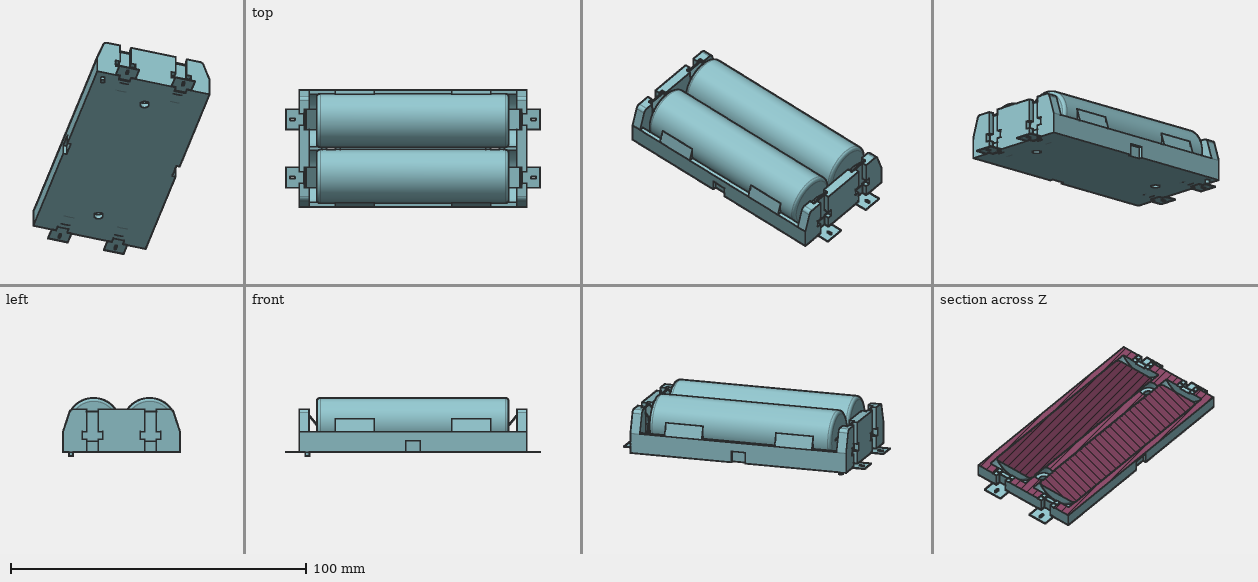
import cadquery as cq
import math


total_length = 86.14
total_height = 19.77

housing_length = 77.2
housing_width = 39.66
rail_height = 7.0
end_wall_height = 14.6
end_wall_thickness = 3.4
side_slope = math.radians(18)
end_wall_round = 1.5
outer_x = housing_length / 2
inner_x = outer_x - end_wall_thickness
outer_y = housing_width / 2

cell_diameter = 18.25
cell_radius = cell_diameter / 2
cell_length = 65.0
cell_edge_round = 1.1
cell_y = 9.47
cell_top = 18.45
cell_z = cell_top - cell_radius
cell_shift = -0.1
cell_ys = [-cell_y, cell_y]

clip_x = 19.7
clip_length = 13.3
clip_top = 11.4

notch_width = 5.0
notch_height = 3.9
notch_depth = 1.2

screw_x = 27.75
screw_diameter = 3.0
counterbore_diameter = 6.2
counterbore_floor = 2.0
pin_diameter = 1.5
pin_length = total_height - cell_top
pin_x = -35.8
pin_y = 17.1

contact_y = 9.85
contact_width = 7.0
contact_neck_width = 3.9
sheet = 0.25
tab_end_x = total_length / 2
tab_hole_length = 1.8
tab_hole_width = 0.7
stem_x = 37.0
stem_top = 3.8
bend_z = 13.95
bend_outer_x = 36.62
bend_inner_x = 36.23
tongue_slope = math.radians(51)
contact_spots = [(end, side) for end in (-1, 1) for side in (-1, 1)]

window_bottom = 4.4
window_top = 7.0


def box(x_range, y_range, z_range):
    """Axis-aligned box between the given limits."""
    sizes = [high - low for low, high in (x_range, y_range, z_range)]
    corner = (x_range[0], y_range[0], z_range[0])
    return cq.Workplane("XY").box(*sizes, centered=False).translate(corner)


def side_y(z):
    """Half-width of the sloping side at a height above the rail."""
    return outer_y - (z - rail_height) * math.tan(side_slope)


def blade_outer_x(z):
    """Outward face of the contact's leaning blade at height z."""
    return stem_x + (bend_outer_x - stem_x) * (z - stem_top) / (bend_z - stem_top)


def at_corner(shape, end, side):
    """Move a shape drawn at the +X end, centred on Y = 0, to one contact place."""
    if end < 0:
        shape = shape.mirror("YZ")
    return shape.translate((0, side * contact_y, 0))


def cell_cylinder(length, y):
    """Cylinder along X, centred on a cell axis."""
    start = cq.Workplane("YZ").workplane(offset=-length / 2)
    return start.center(y, cell_z).circle(cell_radius).extrude(length)


def make_end_wall():
    """End wall at +X with sloping sides and rounded shoulders."""
    half_top = side_y(end_wall_height)
    outline = [
        (-outer_y, 0),
        (outer_y, 0),
        (outer_y, rail_height),
        (half_top, end_wall_height),
        (-half_top, end_wall_height),
        (-outer_y, rail_height),
    ]
    inner_face = cq.Workplane("YZ").workplane(offset=inner_x)
    wall = inner_face.polyline(outline).close().extrude(end_wall_thickness)
    return wall.edges("|X and >Z").fillet(end_wall_round)


def make_clip(x):
    """Wedge above the +Y rail; the cell cavity later gives it its curved inner face."""
    outline = [
        (cell_y, rail_height),
        (outer_y, rail_height),
        (side_y(clip_top), clip_top),
        (cell_y, clip_top),
    ]
    clip_end = cq.Workplane("YZ").workplane(offset=x - clip_length / 2)
    return clip_end.polyline(outline).close().extrude(clip_length)


def make_contact_opening():
    """Space for one contact in the +X end wall, centred on Y = 0."""
    neck = (-contact_neck_width / 2, contact_neck_width / 2)
    wide = (-contact_width / 2, contact_width / 2)
    lip_x = blade_outer_x(window_top)
    stem_slot = box((stem_x - sheet, outer_x), neck, (0, stem_top))
    blade_gap = box((inner_x, outer_x), neck, (stem_top, window_bottom))
    window = box((inner_x, outer_x), wide, (window_bottom, window_top))
    pocket = box((inner_x, lip_x), wide, (window_top, end_wall_height))
    upper_slot = box((lip_x, outer_x), neck, (window_top, end_wall_height))
    return stem_slot.union(blade_gap).union(window).union(pocket).union(upper_slot)


def make_screw_hole(x):
    """Counterbored screw hole between the cells."""
    hole = cq.Workplane("XY").center(x, 0).circle(screw_diameter / 2).extrude(rail_height)
    bore = cq.Workplane("XY").workplane(offset=counterbore_floor).center(x, 0)
    return hole.union(bore.circle(counterbore_diameter / 2).extrude(rail_height))


def make_housing():
    """Tray with rails, end walls, clips, cell cradles, contact openings and locating pin."""
    body = box((-outer_x, outer_x), (-outer_y, outer_y), (0, rail_height))
    for x in (-clip_x, clip_x):
        clip = make_clip(x)
        body = body.union(clip).union(clip.mirror("XZ"))
    for y in cell_ys:
        body = body.cut(cell_cylinder(2 * inner_x, y))

    end_wall = make_end_wall()
    body = body.union(end_wall).union(end_wall.mirror("YZ"))
    for end, side in contact_spots:
        body = body.cut(at_corner(make_contact_opening(), end, side))

    for x in (-screw_x, screw_x):
        body = body.cut(make_screw_hole(x))

    half_notch = notch_width / 2
    notch = box((-half_notch, half_notch), (outer_y - notch_depth, outer_y), (0, notch_height))
    body = body.cut(notch).cut(notch.mirror("XZ"))

    pin = cq.Workplane("XY").center(pin_x, pin_y).circle(pin_diameter / 2).extrude(-pin_length)
    return body.union(pin)


def make_cell(y):
    """Cell with rounded end edges."""
    cell = cell_cylinder(cell_length, y).edges("%CIRCLE").fillet(cell_edge_round)
    return cell.translate((cell_shift, 0, 0))


def make_contact(tip_x):
    """Contact at the +X end: solder tab, stem, leaning blade and a tongue meeting the cell at tip_x."""
    tongue_drop = (bend_inner_x - tip_x) * math.tan(tongue_slope)
    tongue_depth = sheet / math.cos(tongue_slope)
    under_bend_z = bend_z - sheet
    under_bend_x = bend_inner_x + (tongue_depth - sheet) / math.tan(tongue_slope)
    tip_z = bend_z - tongue_drop
    profile = [
        (tab_end_x, 0),
        (tab_end_x, sheet),
        (stem_x, sheet),
        (stem_x, stem_top),
        (bend_outer_x, bend_z),
        (bend_inner_x, bend_z),
        (tip_x, tip_z),
        (tip_x, tip_z - tongue_depth),
        (under_bend_x, under_bend_z),
        (stem_x - sheet, stem_top),
        (stem_x - sheet, 0),
    ]
    contact = cq.Workplane("XZ").polyline(profile).close().extrude(contact_width / 2, both=True)

    half_wide = contact_width / 2
    half_neck = contact_neck_width / 2
    beside_neck = box((inner_x, outer_x), (half_neck, half_wide), (0, window_bottom))
    contact = contact.cut(beside_neck).cut(beside_neck.mirror("XZ"))

    hole_x = (outer_x + tab_end_x) / 2
    hole = cq.Workplane("XY").center(hole_x, 0).slot2D(tab_hole_length, tab_hole_width).extrude(sheet)
    return contact.cut(hole)


housing = make_housing()
cells = [make_cell(y) for y in cell_ys]
contacts = []
for end, side in contact_spots:
    cell_face_x = cell_length / 2 + end * cell_shift
    contacts.append(at_corner(make_contact(cell_face_x), end, side))

result = cq.Compound.makeCompound([body.solids().val() for body in [housing, *cells, *contacts]])